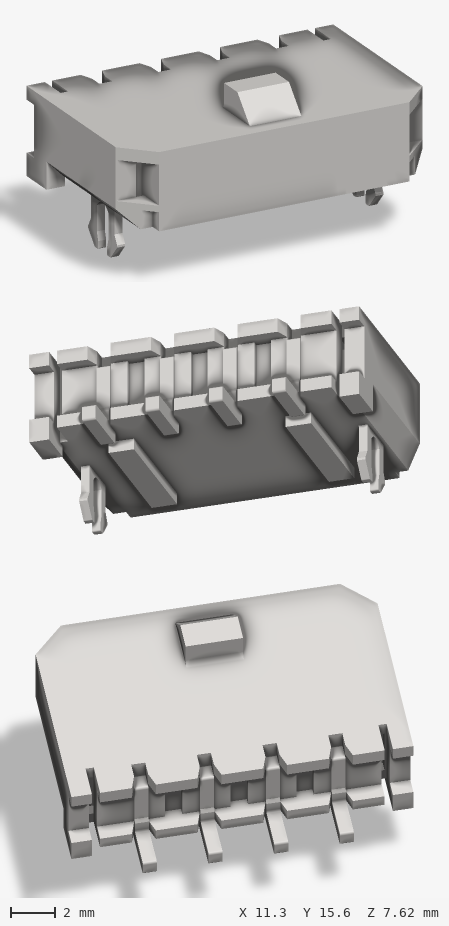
import cadquery as cq
import math


length = 9.9
half_width = 7.82
floor_z = 0.53
top_z = 4.37
corner_chamfer = 1.44
chamfer_x = length - corner_chamfer
undercut_size = 0.83
foot_length = 1.91
foot_inner_y = 6.89
side_wall_y = half_width - corner_chamfer
side_edge_z = floor_z + undercut_size

recess_depth = 0.72
recess_bottom_z = 1.13
recess_top_z = 3.7

corner_window_bottom_z = 1.77
corner_window_top_z = 3.75
corner_notch_top_z = 1.45

pin_count = 4
pin_pitch = 3.0
pin_width = 0.64
pin_tip_x = -1.44
pin_front_x = 0.56
pin_back_x = 1.35
pin_bottom_z = -0.05
pin_tail_top_z = 0.69
pin_top_z = 3.55
pin_edge_radius = 0.11
pin_bend_radius = 0.19
pin_heel_x = 0.45
pin_heel_top_z = 1.27
pin_heel_slope_top_z = 1.45
notch_mouth_width = 1.1
notch_depth = 0.65
groove_width = 0.8
groove_depth = 0.3

latch_width = 2.63
latch_rear_x = 6.64
latch_crest_x = 7.9
latch_front_x = 9.08
latch_top_z = 5.6
latch_root_radius = 0.25

rib_start_x = 2.19
rib_end_x = 8.22
rib_inner_y = 3.6
rib_outer_y = 4.8

clip_inner_y = side_wall_y
clip_outer_y = 6.79
clip_slot_inner_y = 6.51
clip_slot_length = 1.5
clip_plate_rear_x = foot_length
clip_plate_front_x = rib_end_x
clip_plate_top_z = 3.33
clip_plate_radius = 0.11
clip_x = 5.3
clip_half_width = 1.11
clip_gap_half_width = 0.55
clip_gap_radius = 1.3 / 2
clip_gap_top_z = 0.38
clip_root_start_z = 0.42
clip_root_radius = 0.31
clip_shoulder_z = -0.77
clip_barb_half_width = 1.38
clip_barb_top_z = -1.2
clip_barb_bottom_z = -1.31
clip_tip_outer = 0.75
clip_tip_inner = 0.42
clip_tip_top_z = -1.63
clip_bottom_z = -2.02
clip_tip_radius = 0.06

pin_ys = [(i - (pin_count - 1) / 2) * pin_pitch for i in range(pin_count)]
groove_ys = [y + pin_pitch / 2 for y in pin_ys[:-1]]


def block(x0, x1, y0, y1, z0, z1):
    """Box between two opposite corners."""
    return cq.Workplane("XY").box(x1 - x0, y1 - y0, z1 - z0, centered=False).translate((x0, y0, z0))


def side_profile(y0, y1):
    """XZ workplane at y0 and the extrusion distance that reaches y1."""
    return cq.Workplane("XZ", origin=(0, y0, 0)), y0 - y1


def both_sides(solid):
    """The solid joined with its mirror image across Y = 0."""
    return solid.union(solid.mirror("XZ"))


def make_shell():
    """Chamfered housing block with undercut lower sides and rear feet."""
    shell = block(0, length, -half_width, half_width, floor_z, top_z)
    shell = shell.edges("|Z and >X").chamfer(corner_chamfer)
    undercut = (
        cq.Workplane("YZ")
        .polyline([
            (half_width, floor_z),
            (half_width, side_edge_z),
            (half_width - undercut_size, floor_z),
        ])
        .close()
        .extrude(length)
    )
    foot = block(0, foot_length, foot_inner_y, half_width, 0, side_edge_z)
    return shell.cut(both_sides(undercut)).union(both_sides(foot))


def make_corner_openings():
    """Window through each chamfer and a notch below it, both as deep as the chamfer."""
    window = block(chamfer_x, length, side_wall_y, half_width, corner_window_bottom_z, corner_window_top_z)
    notch_x = chamfer_x + undercut_size
    notch = block(notch_x, length, side_wall_y, half_width, floor_z, corner_notch_top_z)
    return both_sides(window.union(notch))


def make_rear_recess():
    """Recess across the rear face, with a groove midway between neighbouring pins."""
    recess = block(0, recess_depth, -half_width, half_width, recess_bottom_z, recess_top_z)
    for y in groove_ys:
        recess = recess.union(block(
            0, recess_depth + groove_depth,
            y - groove_width / 2, y + groove_width / 2,
            recess_bottom_z, recess_top_z,
        ))
    return recess


def make_pin_slot(y):
    """Full-height slot for one pin, with a flared mouth at the rear."""
    return (
        cq.Workplane("XY", origin=(0, y, floor_z))
        .polyline([
            (0, -notch_mouth_width / 2),
            (notch_depth, -pin_width / 2),
            (pin_back_x, -pin_width / 2),
            (pin_back_x, pin_width / 2),
            (notch_depth, pin_width / 2),
            (0, notch_mouth_width / 2),
        ])
        .close()
        .extrude(top_z - floor_z)
    )


def make_clip_slots():
    """Open rear slots and the channels leading from them to the corner windows."""
    slot = block(0, clip_slot_length, clip_slot_inner_y, foot_inner_y, floor_z, top_z)
    channel = block(
        clip_slot_length, chamfer_x,
        clip_inner_y, clip_outer_y,
        recess_bottom_z, recess_top_z,
    )
    return both_sides(slot.union(channel))


def make_pin(y):
    """L-shaped pin: upright shank with a rear heel, and a tail lying on the board."""
    plane, distance = side_profile(y - pin_width / 2, y + pin_width / 2)
    pin = (
        plane
        .polyline([
            (pin_tip_x, pin_bottom_z),
            (pin_back_x, pin_bottom_z),
            (pin_back_x, pin_top_z),
            (pin_front_x, pin_top_z),
            (pin_front_x, pin_heel_slope_top_z),
            (pin_heel_x, pin_heel_top_z),
            (pin_heel_x, pin_tail_top_z),
            (pin_tip_x, pin_tail_top_z),
        ])
        .close()
        .extrude(distance)
    )
    bend = cq.selectors.NearestToPointSelector((pin_back_x, y, pin_bottom_z))
    inner_bend = cq.selectors.NearestToPointSelector((pin_heel_x, y, pin_tail_top_z))
    pin = pin.edges(bend).fillet(pin_bend_radius)
    pin = pin.edges(inner_bend).fillet(pin_edge_radius)
    return pin.edges("|Y and (<X or >Z)").fillet(pin_edge_radius)


def make_latch():
    """Ramped latch with a concave root along its rear face."""
    plane, distance = side_profile(-latch_width / 2, latch_width / 2)
    sag = latch_root_radius * (1 - math.sqrt(0.5))
    return (
        plane
        .moveTo(latch_rear_x - latch_root_radius, top_z)
        .threePointArc(
            (latch_rear_x - sag, top_z + sag),
            (latch_rear_x, top_z + latch_root_radius),
        )
        .lineTo(latch_rear_x, latch_top_z)
        .lineTo(latch_crest_x, latch_top_z)
        .lineTo(latch_front_x, top_z)
        .close()
        .extrude(distance)
    )


def make_clip():
    """Clip on the +Y side: a plate inside the housing and two barbed legs below it."""
    plate = block(
        clip_plate_rear_x, clip_plate_front_x,
        clip_inner_y, clip_outer_y,
        recess_bottom_z, clip_plate_top_z,
    )
    plate = plate.edges("|Y and <X").fillet(clip_plate_radius)

    plane, distance = side_profile(clip_inner_y, clip_outer_y)
    arc_drop = clip_gap_radius - math.sqrt(clip_gap_radius**2 - clip_gap_half_width**2)
    left_leg = [
        (-clip_half_width, clip_root_start_z),
        (-clip_half_width, clip_shoulder_z),
        (-clip_barb_half_width, clip_barb_top_z),
        (-clip_barb_half_width, clip_barb_bottom_z),
        (-clip_tip_outer, clip_bottom_z),
        (-clip_tip_inner, clip_bottom_z),
        (-clip_tip_inner, clip_tip_top_z),
        (-clip_gap_half_width, clip_barb_top_z),
        (-clip_gap_half_width, clip_gap_top_z - arc_drop),
    ]
    right_leg = [(-x, z) for x, z in reversed(left_leg)]
    root_width = clip_half_width + clip_root_radius
    root_sag = clip_root_radius * (1 - math.sqrt(0.5))
    root_mid_x = clip_half_width + root_sag
    root_mid_z = clip_root_start_z + clip_root_radius * math.sqrt(0.5)
    root_top_z = clip_root_start_z + clip_root_radius
    legs = (
        plane
        .moveTo(-root_width, recess_bottom_z)
        .lineTo(-root_width, root_top_z)
        .threePointArc((-root_mid_x, root_mid_z), left_leg[0])
        .polyline(left_leg[1:], includeCurrent=True)
        .threePointArc((0, clip_gap_top_z), right_leg[0])
        .polyline(right_leg[1:], includeCurrent=True)
        .threePointArc((root_mid_x, root_mid_z), (root_width, root_top_z))
        .lineTo(root_width, recess_bottom_z)
        .close()
        .extrude(distance)
        .edges("|Y and <Z")
        .fillet(clip_tip_radius)
        .translate((clip_x, 0, 0))
    )
    return plate.union(legs)


result = make_shell().cut(make_corner_openings()).cut(make_rear_recess()).cut(make_clip_slots())
for pin_y in pin_ys:
    result = result.cut(make_pin_slot(pin_y)).union(make_pin(pin_y))

rib = block(rib_start_x, rib_end_x, rib_inner_y, rib_outer_y, 0, floor_z)
result = result.union(both_sides(rib)).union(make_latch()).union(both_sides(make_clip()))